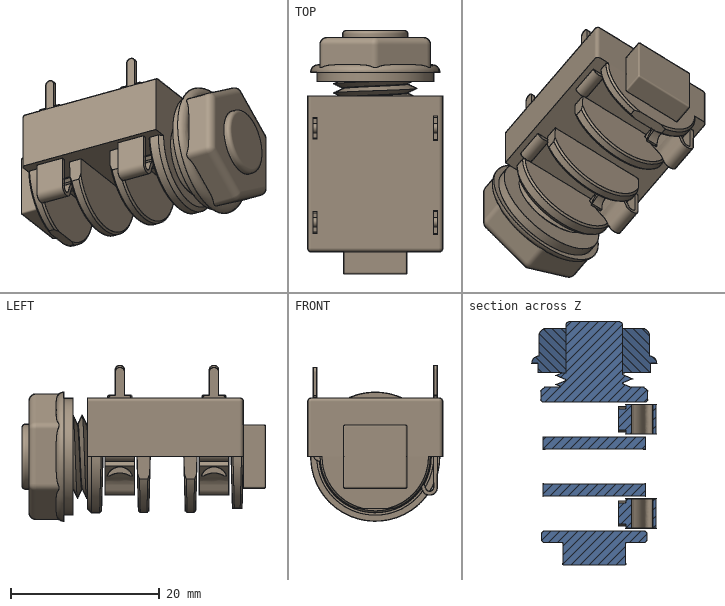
import cadquery as cq
import math


body_overlap = 0.33

box_half_width = 9.1
box_top = 7.92
box_length = 21.02
box_fillet = 0.5

block_side = 8.55
block_length = 3.0
block_fillet = 0.23

rib_radius = 7.55
rib_draft = 1.5
rib_edge_chamfer = 0.25
front_rib_thickness = 2.1
front_rib_chamfer = 0.53
middle_rib_thickness = 1.8
middle_rib_fronts = (-6.67, -12.98)
middle_rib_half_width = 6.93
rear_rib_thickness = 1.68
rear_rib_radius = 7.42
rear_rib_depth = 6.95

bushing_radius = 4.4
bushing_front = 8.85
bushing_fillet = 0.5
thread_radius = 5.62
thread_pitch = 1.232
thread_half_base = 0.6
thread_crest_y = 1.02
thread_embed = 0.05
thread_lead_in = 2
thread_turns = 4

washer_back = 1.95
washer_radius = 7.9
flange_back = 3.2
flange_radius = 8.7
flange_thickness = 1.02
nut_front = 7.9
hex_across_flats = 14.95
hex_fillet = 1.0

sheet = 0.53
contact_outer_x = 8.38
contact_centers = (-4.37, -17.05)
contact_width = 4.0
bend_radius = 1.05
arm_start_angle = 198
long_bend_z = -4.15
short_bend_z = 0.4
pin_width = 1.28
left_pin_top = 12.02
right_pin_top = 12.32
left_foot_width = 2.92
left_foot_height = 0.3
right_foot_width = 3.3
right_foot_height = 0.4
foot_chamfer = 0.15
bend_x = contact_outer_x - bend_radius
pin_root_z = box_top - body_overlap

arm_foot = (6.3, -3.7)
arm_shoulder = (5.25, -2.63)
arm_nose = (3.55, -1.2)
arm_tip = (4.15, -0.62)

arch_outer_half_width = 1.7
arch_inner_half_width = 1.45
arch_outer_top = -1.38
arch_inner_top = -2.2
arch_face_x = 3.25


def y_cylinder(radius, y_back, y_front):
    """Cylinder around the Y axis between two Y positions."""
    return cq.Workplane("XZ", origin=(0, y_front, 0)).circle(radius).extrude(y_front - y_back)


def make_box():
    """Housing box with rounded top, side and rear edges; the front edges stay sharp."""
    box = cq.Workplane("XY", origin=(0, -box_length / 2, 0)).box(
        2 * box_half_width, box_length, box_top, centered=(True, True, False))
    return box.edges("(|Z and <Y) or (|Y and >Z) or (|X and >Z and <Y)").fillet(box_fillet)


def make_block():
    block = cq.Workplane("XZ", origin=(0, -box_length, 0)).rect(block_side, block_side).extrude(block_length)
    return block.edges("|Y or <Y").fillet(block_fillet)


def make_rib(disc, radius, half_width, depth, front_draft):
    """Lower half of a disc with faces leaning inward going down; the tilted round edges are chamfered."""
    bounds = disc.val().BoundingBox()
    front_lean = radius * math.tan(math.radians(front_draft))
    back_lean = radius * math.tan(math.radians(rib_draft))
    slab = cq.Workplane("YZ").polyline([
        (bounds.ymax, 0),
        (bounds.ymin, 0),
        (bounds.ymin + back_lean, -radius),
        (bounds.ymax - front_lean, -radius),
    ]).close().extrude(radius, both=True)
    rib = disc.intersect(slab).edges("%ELLIPSE").chamfer(rib_edge_chamfer)
    limits = cq.Workplane("XY", origin=(0, bounds.center.y, -depth / 2)).box(
        2 * half_width, bounds.ylen, depth)
    return rib.intersect(limits)


def make_front_rib():
    """Rib flush with the box front, with an upright front face and a wide front chamfer."""
    disc = y_cylinder(rib_radius, -front_rib_thickness, 0).faces(">Y").chamfer(front_rib_chamfer)
    return make_rib(disc, rib_radius, rib_radius, rib_radius, 0)


def make_middle_rib(y_front):
    disc = y_cylinder(rib_radius, y_front - middle_rib_thickness, y_front)
    return make_rib(disc, rib_radius, middle_rib_half_width, rib_radius, rib_draft)


def make_rear_rib():
    """Smaller rib flush with the box rear, cut flat at the bottom."""
    disc = y_cylinder(rear_rib_radius, -box_length, rear_rib_thickness - box_length)
    return make_rib(disc, rear_rib_radius, rear_rib_radius, rear_rib_depth, rib_draft)


def make_thread():
    """V thread around the bushing, cut off where the washer face begins."""
    base_radius = bushing_radius - thread_embed
    helix_start = thread_crest_y - thread_lead_in * thread_pitch
    helix = cq.Wire.makeHelix(thread_pitch, thread_turns * thread_pitch, base_radius)
    ridge = cq.Workplane("XZ").polyline([
        (base_radius, -thread_half_base),
        (thread_radius, 0),
        (base_radius, thread_half_base),
    ]).close().sweep(cq.Workplane(obj=helix), isFrenet=True)
    ridge = ridge.rotate((0, 0, 0), (1, 0, 0), -90).translate((0, helix_start, 0))
    return ridge.intersect(y_cylinder(2 * thread_radius, 0, washer_back))


def make_bushing():
    """Round shank, sunk slightly into the box and rounded at its front end."""
    shank = y_cylinder(bushing_radius, -body_overlap, bushing_front)
    return shank.faces(">Y").edges().fillet(bushing_fillet)


def make_pin(x_inner, top, foot_width, foot_height, y_center):
    """Round-tipped solder pin on a wider foot; both are rooted in the box top."""
    tip_start = top - pin_width / 2
    stem = cq.Workplane("YZ", origin=(x_inner, y_center, 0)).moveTo(-pin_width / 2, pin_root_z)
    stem = stem.lineTo(-pin_width / 2, tip_start)
    stem = stem.threePointArc((0, top), (pin_width / 2, tip_start))
    stem = stem.lineTo(pin_width / 2, pin_root_z).close().extrude(sheet)
    foot_total = box_top + foot_height - pin_root_z
    foot = cq.Workplane("XY", origin=(x_inner, y_center, pin_root_z)).box(
        sheet, foot_width, foot_total, centered=(False, True, False))
    return stem.union(foot.edges("|X and >Z").chamfer(foot_chamfer))


def make_left_pin(y_center):
    return make_pin(-contact_outer_x, left_pin_top, left_foot_width, left_foot_height, y_center)


def make_right_pin(y_center):
    return make_pin(contact_outer_x - sheet, right_pin_top, right_foot_width, right_foot_height, y_center)


def make_left_bend(y_center):
    """Short bend on the -X side; only its lowest part comes out under the box."""
    return cq.Workplane("XZ", origin=(0, y_center, 0)).center(-bend_x, short_bend_z).circle(
        bend_radius).extrude(contact_width / 2, both=True)


def make_spring(y_center):
    """Strip that bends under the box and rises into a V-shaped spring arm."""
    strip_x = contact_outer_x - sheet / 2
    middle_radius = bend_radius - sheet / 2
    arm_angle = math.radians(arm_start_angle)
    arm_start = (bend_x + middle_radius * math.cos(arm_angle),
                 long_bend_z + middle_radius * math.sin(arm_angle))
    path = cq.Workplane("XZ", origin=(0, y_center, 0)).moveTo(strip_x, body_overlap)
    path = path.lineTo(strip_x, long_bend_z)
    path = path.threePointArc((bend_x, long_bend_z - middle_radius), arm_start)
    path = path.lineTo(*arm_foot).tangentArcPoint(arm_shoulder, relative=False)
    path = path.lineTo(*arm_nose).lineTo(*arm_tip)
    section = cq.Workplane("XY", origin=(strip_x, y_center, body_overlap)).rect(sheet, contact_width)
    return section.sweep(path, transition="right")


def make_arch(y_center):
    """Arched boss with an upright face, filling the space under the sloping spring arm."""
    foot_z = arm_shoulder[1]
    arch = cq.Workplane("YZ", origin=(arch_face_x, y_center, 0)).moveTo(-arch_outer_half_width, foot_z)
    arch = arch.threePointArc((0, arch_outer_top), (arch_outer_half_width, foot_z))
    arch = arch.lineTo(arch_inner_half_width, foot_z)
    arch = arch.threePointArc((0, arch_inner_top), (-arch_inner_half_width, foot_z)).close()
    arch = arch.extrude(arm_shoulder[0] - arch_face_x)
    under_arm = cq.Workplane("XZ", origin=(0, y_center, 0)).polyline([
        (arch_face_x, arm_nose[1]),
        arm_nose,
        arm_shoulder,
        (arch_face_x, foot_z),
    ]).close().extrude(contact_width / 2, both=True)
    return arch.intersect(under_arm)


def make_hexagon():
    corner_diameter = hex_across_flats / math.cos(math.radians(30))
    hexagon = cq.Workplane("XZ", origin=(0, nut_front, 0)).transformed(rotate=(0, 0, 30)).polygon(
        6, corner_diameter).extrude(nut_front - flange_back)
    return hexagon.edges("|Y").fillet(hex_fillet).faces(">Y").edges().fillet(hex_fillet)


def make_flange():
    """Disc whose front edge is a full quarter round."""
    flat_radius = flange_radius - flange_thickness
    flange_front = flange_back + flange_thickness
    arc_offset = flange_thickness * math.sqrt(0.5)
    return cq.Workplane("XY").moveTo(0, flange_back).lineTo(flange_radius, flange_back).threePointArc(
        (flat_radius + arc_offset, flange_back + arc_offset), (flat_radius, flange_front)
    ).lineTo(0, flange_front).close().revolve(360, (0, 0, 0), (0, 1, 0))


def make_nut():
    """Flanged hexagon nut with a washer face, bored to fit the bushing."""
    washer = y_cylinder(washer_radius, washer_back, flange_back)
    bore = y_cylinder(bushing_radius, washer_back, nut_front)
    return make_hexagon().union(make_flange()).union(washer).cut(bore)


def make_housing():
    """Box with everything fixed to it: block, ribs, threaded bushing and contacts."""
    parts = [make_block(), make_front_rib(), make_rear_rib(), make_bushing(), make_thread()]
    for rib_y in middle_rib_fronts:
        parts.append(make_middle_rib(rib_y))
    for contact_y in contact_centers:
        parts.append(make_left_pin(contact_y))
        parts.append(make_left_bend(contact_y))
        parts.append(make_right_pin(contact_y))
        parts.append(make_spring(contact_y))
        parts.append(make_arch(contact_y))
    housing = make_box()
    for part in parts:
        housing = housing.union(part)
    return housing


housing = make_housing()
nut = make_nut()
result = cq.Compound.makeCompound([*housing.vals(), *nut.vals()])